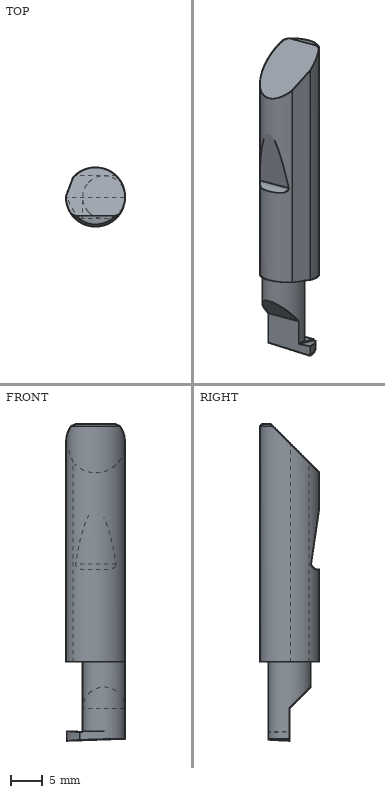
import cadquery as cq
import math

shank_diameter = 9.525
shank_length = 38.1
shank_radius = shank_diameter / 2
end_chamfer = 0.38
end_bevel_height = 7.78
side_flat_start = 179
side_flat_end = 139.5

notch_shoulder_z = 14.8
notch_corner_radius = 1.05
notch_runout_z = 24.4
notch_angle = 8.7

neck_radius = 3.43
neck_length = 12.7
neck_x = shank_radius - neck_radius
neck_slope_end = 7.45

cutting_edge_x = -4.62
cutting_width = 1.59
head_front_y = -neck_radius
head_corner_x = -2.52
head_corner_chamfer = 0.27
head_front_bulge = 0.17
ledge_x = neck_x - neck_radius
relief_angle = 2
relief_slope = math.tan(math.radians(relief_angle))

clearance = 20


def side_profile_prism(points):
    """Prism with a Y-Z outline that spans the part along X."""
    return cq.Workplane("YZ").polyline(points).close().extrude(clearance, both=True)


def make_shank():
    shank = cq.Workplane("XY").circle(shank_radius).extrude(shank_length)
    return shank.faces(">Z").chamfer(end_chamfer)


def end_bevel():
    reach = end_bevel_height + end_chamfer
    return side_profile_prism([
        (shank_radius, shank_length - end_bevel_height),
        (shank_radius + reach, shank_length - end_bevel_height - reach),
        (shank_radius + reach, shank_length + reach),
        (shank_radius - end_bevel_height - reach, shank_length + reach),
    ])


def side_flat():
    middle = (side_flat_start + side_flat_end) / 2
    half_span = math.radians(side_flat_start - side_flat_end) / 2
    flat_distance = shank_radius * math.cos(half_span)
    cutter = cq.Workplane("XY").box(clearance, clearance, shank_length, centered=(False, True, False))
    cutter = cutter.translate((flat_distance, 0, 0))
    return cutter.rotate((0, 0, 0), (0, 0, 1), middle)


def clamping_notch():
    tilt = math.radians(notch_angle)
    center_z = notch_shoulder_z + notch_corner_radius
    center_y = (
        shank_radius
        - (notch_runout_z - center_z) * math.tan(tilt)
        + notch_corner_radius / math.cos(tilt)
    )

    def on_corner(angle):
        return (
            center_y - notch_corner_radius * math.cos(angle),
            center_z + notch_corner_radius * math.sin(angle),
        )

    outline = (
        cq.Workplane("YZ")
        .moveTo(shank_radius, notch_runout_z)
        .lineTo(*on_corner(-tilt))
        .threePointArc(on_corner(-(tilt + math.pi / 2) / 2), on_corner(-math.pi / 2))
        .lineTo(shank_radius, notch_shoulder_z)
        .close()
    )
    return outline.extrude(clearance, both=True)


def make_neck():
    neck = cq.Workplane("XY").center(neck_x, 0).circle(neck_radius).extrude(-neck_length)
    rake_cut = side_profile_prism([
        (0, -neck_length),
        (0, -neck_slope_end),
        (neck_slope_end, 0),
        (neck_slope_end, -neck_length),
    ])
    return neck.cut(rake_cut)


def make_head():
    relief_end = (head_corner_x - head_corner_chamfer, head_front_y + head_corner_chamfer)
    outline = (
        cq.Workplane("XY", origin=(0, 0, -neck_length))
        .moveTo(neck_x, 0)
        .lineTo(cutting_edge_x, 0)
        .sagittaArc(relief_end, -head_front_bulge)
        .lineTo(head_corner_x, head_front_y)
        .lineTo(neck_x, head_front_y)
        .close()
    )
    return outline.extrude(cutting_width)


def relief_cut(edge_z, direction):
    """Block beyond a plane through the cutting corner that leans inward toward +X and -Y."""
    normal = cq.Vector(relief_slope, -relief_slope, direction)
    plane = cq.Plane(
        origin=(cutting_edge_x, 0, edge_z),
        xDir=(1, 0, -direction * relief_slope),
        normal=normal,
    )
    return cq.Workplane(plane).rect(2 * clearance, 2 * clearance).extrude(cutting_width)


def upper_relief():
    """Relief that stops beside the neck, leaving a flat ledge in front of it."""
    beside_neck = cq.Workplane("XY").box(clearance, clearance, clearance).translate(
        (ledge_x - clearance / 2, 0, -neck_length)
    )
    return relief_cut(cutting_width - neck_length, 1).intersect(beside_neck)


shank = make_shank().cut(side_flat()).cut(end_bevel()).cut(clamping_notch())
head = make_head().cut(upper_relief())
tool_end = make_neck().union(head).cut(relief_cut(-neck_length, -1))
result = shank.union(tool_end)